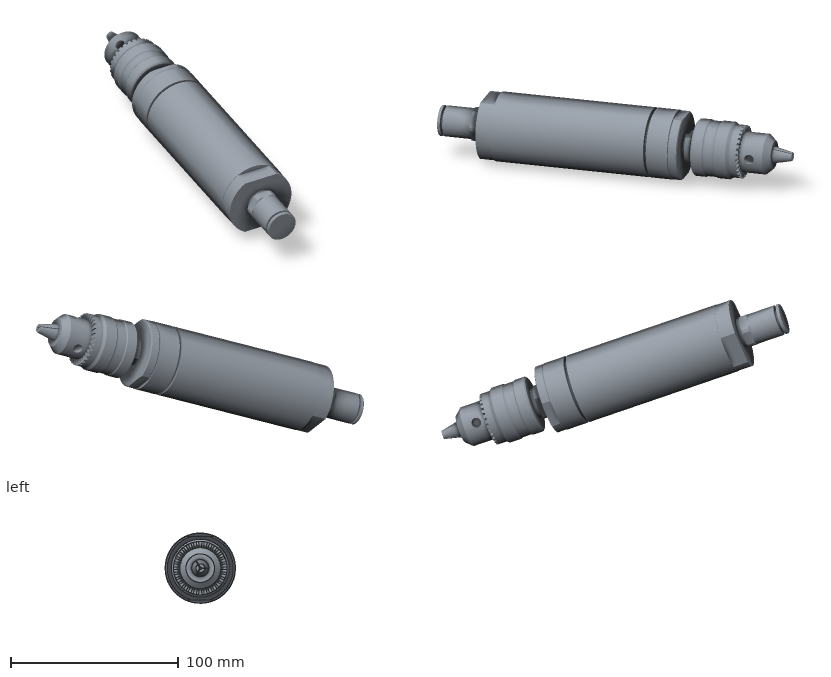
import cadquery as cq
import math


LENGTH = 218.5

jaw_tip_dia = 5.2
jaw_base_dia = 10.3
jaw_count = 3
jaw_slit_width = 0.5
jaw_bore_dia = 1.5

nose_front = 11.4
nose_face_dia = 17.0
nose_dia = 24.5
nose_cone_end = 15.5
gear_front = 29.5
gear_dia = 32.0
gear_end = 35.5
sleeve_front = 37.2
sleeve_dia = 34.5
grip_groove_dia = 33.5
grip_groove_start = 44.4
grip_groove_end = 51.8
grip_groove_slope = 0.7
chuck_rear = 59.0
sleeve_chamfer = 0.9

tooth_count = 30
tooth_gap_width = 1.3
tooth_gap_inner_depth = 0.7
tooth_gap_outer_depth = 1.5
gear_root = gear_front + tooth_gap_outer_depth

key_hole_dia = 6.0
key_hole_x = 23.5
key_hole_depth = 5.5

spindle_boss_dia = 18.0
spindle_flange_dia = 20.5
spindle_flange_start = 61.2
spindle_flange_end = 64.7
spindle_flat_span = 15.0
spindle_dia = 14.9

front_cap_start = 66.2
front_cap_dia = 41.5
front_cap_face_dia = 39.3
front_cap_chamfer_length = 0.5
front_cap_rear_chamfer = 0.7
front_cap_flat_span = 38.0
housing_start = 72.1
housing_dia = 42.0
housing_groove_start = 85.2
housing_groove_end = 87.0
housing_groove_dia = 36.0
rear_cap_start = 182.0
rear_cap_dia = 41.5
housing_end = 191.2
rear_flat_span = 35.6

fitting_neck_dia = 18.0
fitting_hex_start = 193.2
fitting_hex_end = 198.5
fitting_hex_flats = 18.5
fitting_hex_corner_dia = 20.3
fitting_hex_chamfer = 0.5
fitting_dia = 18.5
fitting_groove_start = 215.3
fitting_groove_end = 216.8
fitting_groove_dia = 13.1
fitting_chamfer = 0.5


def cylinder(start, end, dia):
    return cq.Workplane("YZ", origin=(start, 0, 0)).circle(dia / 2).extrude(end - start)


def turned(stations):
    """Solid of revolution about X through (x, diameter) stations."""
    outline = [(x, dia / 2) for x, dia in stations]
    outline = [(stations[0][0], 0)] + outline + [(stations[-1][0], 0)]
    return cq.Workplane("XY").polyline(outline).close().revolve(360, (0, 0, 0), (1, 0, 0))


def cut_around(body, cutter, count):
    """Cut evenly spaced copies of the cutter around the X axis."""
    for i in range(count):
        body = body.cut(cutter.rotate((0, 0, 0), (1, 0, 0), i * 360 / count))
    return body


def flatten(body, start, end, span):
    """Cut a pair of flats facing +Z and -Z over one stretch of the body."""
    for side in (1, -1):
        cutter = cq.Workplane("XY").box(end - start, housing_dia + 2.2, housing_dia)
        centre_z = side * (span + housing_dia) / 2
        body = body.cut(cutter.translate(((start + end) / 2, 0, centre_z)))
    return body


def make_jaws():
    jaws = turned([(0, jaw_tip_dia), (nose_front, jaw_base_dia)])
    jaws = jaws.cut(cylinder(0, nose_front, jaw_bore_dia))
    slit = cq.Workplane("XY").box(nose_front, jaw_base_dia, jaw_slit_width, centered=(False, False, True))
    slit = slit.rotate((0, 0, 0), (1, 0, 0), 180)
    return cut_around(jaws, slit, jaw_count)


def make_gear_teeth():
    teeth = cylinder(gear_front, gear_root, gear_dia)
    gap = (
        cq.Workplane("XY")
        .moveTo(gear_front, nose_dia / 2)
        .lineTo(gear_front + tooth_gap_inner_depth, nose_dia / 2)
        .lineTo(gear_root, gear_dia / 2)
        .lineTo(gear_front, gear_dia / 2)
        .close()
        .extrude(tooth_gap_width / 2, both=True)
    )
    teeth = cut_around(teeth, gap, tooth_count)
    core = cylinder(gear_front, gear_root, nose_dia)
    return teeth.union(core)


def make_chuck():
    chuck = turned([
        (nose_front, nose_face_dia),
        (nose_cone_end, nose_dia),
        (gear_root, nose_dia),
        (gear_root, gear_dia),
        (gear_end, gear_dia),
        (sleeve_front, sleeve_dia),
        (grip_groove_start, sleeve_dia),
        (grip_groove_start + grip_groove_slope, grip_groove_dia),
        (grip_groove_end - grip_groove_slope, grip_groove_dia),
        (grip_groove_end, sleeve_dia),
        (chuck_rear - sleeve_chamfer, sleeve_dia),
        (chuck_rear, sleeve_dia - 2 * sleeve_chamfer),
    ])
    chuck = chuck.union(make_gear_teeth())

    hole = cq.Workplane("XZ", origin=(key_hole_x, nose_dia / 2, 0)).circle(key_hole_dia / 2)
    hole = hole.extrude(key_hole_depth)
    return cut_around(chuck, hole, jaw_count)


def make_spindle():
    boss = cylinder(chuck_rear, spindle_flange_start, spindle_boss_dia)
    flange = cylinder(spindle_flange_start, spindle_flange_end, spindle_flange_dia)
    flange = flatten(flange, spindle_flange_start, spindle_flange_end, spindle_flat_span)
    shaft = cylinder(spindle_flange_end, front_cap_start, spindle_dia)
    return boss.union(flange).union(shaft)


def make_housing():
    housing = turned([
        (front_cap_start, front_cap_face_dia),
        (front_cap_start + front_cap_chamfer_length, front_cap_dia),
        (housing_start - front_cap_rear_chamfer, front_cap_dia),
        (housing_start, front_cap_dia - 2 * front_cap_rear_chamfer),
        (housing_start, housing_dia),
        (housing_groove_start, housing_dia),
        (housing_groove_start, housing_groove_dia),
        (housing_groove_end, housing_groove_dia),
        (housing_groove_end, housing_dia),
        (rear_cap_start, housing_dia),
        (rear_cap_start, rear_cap_dia),
        (housing_end, rear_cap_dia),
    ])
    housing = flatten(housing, front_cap_start, housing_start, front_cap_flat_span)
    return flatten(housing, rear_cap_start, housing_end, rear_flat_span)


def make_fitting():
    fitting = turned([
        (housing_end, fitting_neck_dia),
        (fitting_hex_start, fitting_neck_dia),
        (fitting_hex_start, fitting_dia),
        (fitting_groove_start, fitting_dia),
        (fitting_groove_start, fitting_groove_dia),
        (fitting_groove_end, fitting_groove_dia),
        (fitting_groove_end, fitting_dia),
        (LENGTH - fitting_chamfer, fitting_dia),
        (LENGTH, fitting_dia - 2 * fitting_chamfer),
    ])
    corner_to_corner = fitting_hex_flats / math.cos(math.pi / 6)
    hexagon = cq.Workplane("YZ", origin=(fitting_hex_start, 0, 0)).polygon(6, corner_to_corner)
    hexagon = hexagon.extrude(fitting_hex_end - fitting_hex_start)
    rounded = turned([
        (fitting_hex_start, fitting_hex_corner_dia - 2 * fitting_hex_chamfer),
        (fitting_hex_start + fitting_hex_chamfer, fitting_hex_corner_dia),
        (fitting_hex_end - fitting_hex_chamfer, fitting_hex_corner_dia),
        (fitting_hex_end, fitting_hex_corner_dia - 2 * fitting_hex_chamfer),
    ])
    return fitting.union(hexagon.intersect(rounded))


result = make_jaws()
for piece in (make_chuck(), make_spindle(), make_housing(), make_fitting()):
    result = result.union(piece)